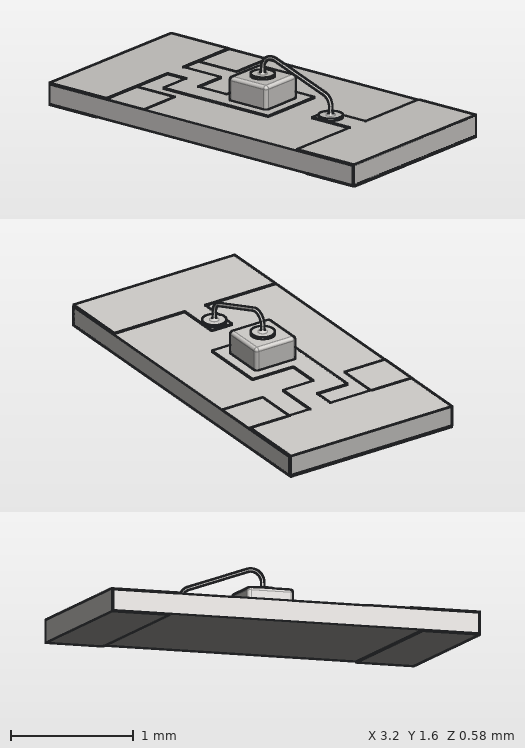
import cadquery as cq
import math

LENGTH = 3.2
WIDTH = 1.6
GRID = LENGTH / 32
METAL = 0.01
SIDE_INSET = 0.01
TOP_Z = 0.192
BOARD_TOP = TOP_Z - METAL

TERMINAL_EDGE = 10 * GRID
UNDER_EDGE = 11 * GRID
PATCH_EDGE = 6 * GRID
PATCH_SIDE = 4 * GRID
PATCH_HEIGHT = 0.003
PAD_START = 6 * GRID

CHIP_SIZE = 4 * GRID
CHIP_HEIGHT = 2 * GRID
CHIP_RADIUS = 0.03
CHIP_TOP = TOP_Z + CHIP_HEIGHT

WIRE_TOP = 0.58
WIRE_RADIUS = 0.0145
BEND_RADIUS = 0.1
BOND_X = 0.715
LOWER_BEND_Z = 0.285
DISC_RADIUS = GRID
DISC_HEIGHT = 0.02
FLARE = 0.025


def box(x0, x1, y0, y1, z0, z1):
    return cq.Workplane("XY").box(x1 - x0, y1 - y0, z1 - z0, centered=False).translate((x0, y0, z0))


def make_board():
    half_length = LENGTH / 2 - METAL
    return box(-half_length, half_length, -WIDTH / 2, WIDTH / 2, METAL, BOARD_TOP)


def make_terminal(side):
    """C-shaped end metal: top plate, end plate and underside pad. side is -1 or 1 along X."""
    outer = side * LENGTH / 2
    profile = [
        (side * TERMINAL_EDGE, TOP_Z),
        (outer, TOP_Z),
        (outer, 0),
        (side * UNDER_EDGE, 0),
        (side * UNDER_EDGE, METAL),
        (outer - side * METAL, METAL),
        (outer - side * METAL, BOARD_TOP),
        (side * TERMINAL_EDGE, BOARD_TOP),
    ]
    half_width = WIDTH / 2 - SIDE_INSET
    return cq.Workplane("XZ").polyline(profile).close().extrude(half_width, both=True)


def make_left_terminal():
    """Terminal with the stepped track that widens into the chip pad."""
    steps = [(-10, 2), (-6, 2), (-6, -1), (-3, -1), (-3, 3), (3, 3), (3, -3), (-8, -3), (-8, 0), (-10, 0)]
    outline = [(column * GRID, row * GRID) for column, row in steps]
    track = cq.Workplane("XY").workplane(offset=BOARD_TOP).polyline(outline).close().extrude(METAL)
    return make_terminal(-1).union(track)


def make_right_terminal():
    """Terminal with the short landing for the second bond."""
    landing = box(PAD_START, TERMINAL_EDGE, -GRID, GRID, BOARD_TOP, TOP_Z)
    return make_terminal(1).union(landing)


def make_patch(side):
    """Thin corner patch beside the left terminal. side is -1 or 1 along Y."""
    y0 = side * (WIDTH - PATCH_SIDE) / 2 - PATCH_SIDE / 2
    return box(-TERMINAL_EDGE, -PATCH_EDGE, y0, y0 + PATCH_SIDE, BOARD_TOP, BOARD_TOP + PATCH_HEIGHT)


def make_chip():
    chip = box(-CHIP_SIZE / 2, CHIP_SIZE / 2, -CHIP_SIZE / 2, CHIP_SIZE / 2, TOP_Z, CHIP_TOP)
    return chip.edges("|Z or >Z").fillet(CHIP_RADIUS)


def make_foot(x, base_z):
    """Bond disc with the concave flare that runs up into the wire."""
    disc_top = base_z + DISC_HEIGHT
    flare_top = disc_top + FLARE
    flare_radius = WIRE_RADIUS + FLARE
    reach = FLARE * (1 - math.sqrt(0.5))
    foot = (
        cq.Workplane("XZ")
        .moveTo(0, base_z)
        .lineTo(DISC_RADIUS, base_z)
        .lineTo(DISC_RADIUS, disc_top)
        .lineTo(flare_radius, disc_top)
        .threePointArc((WIRE_RADIUS + reach, disc_top + reach), (WIRE_RADIUS, flare_top))
        .lineTo(0, flare_top)
        .close()
        .revolve(360, (0, 0), (0, 1))
    )
    return foot.translate((x, 0, 0))


def make_wire():
    """Bond wire: two upright ends, two bends and the straight slope tangent to both bends."""
    upper_x = BEND_RADIUS
    upper_z = WIRE_TOP - WIRE_RADIUS - BEND_RADIUS
    lower_x = BOND_X - BEND_RADIUS
    slope = math.atan2(upper_z - LOWER_BEND_Z, lower_x - upper_x)
    slope_start = math.pi / 2 - slope

    def on_bend(x, z, angle):
        return (x + BEND_RADIUS * math.cos(angle), z + BEND_RADIUS * math.sin(angle))

    start_z = CHIP_TOP + DISC_HEIGHT
    path = (
        cq.Workplane("XZ")
        .moveTo(0, start_z)
        .lineTo(0, upper_z)
        .threePointArc(
            on_bend(upper_x, upper_z, (math.pi + slope_start) / 2),
            on_bend(upper_x, upper_z, slope_start),
        )
        .lineTo(*on_bend(lower_x, LOWER_BEND_Z, slope_start))
        .threePointArc(on_bend(lower_x, LOWER_BEND_Z, slope_start / 2), (BOND_X, LOWER_BEND_Z))
        .lineTo(BOND_X, TOP_Z + DISC_HEIGHT)
    )
    strand = cq.Workplane("XY").workplane(offset=start_z).circle(WIRE_RADIUS).sweep(path)
    chip_foot = make_foot(0, CHIP_TOP)
    landing_foot = make_foot(BOND_X, TOP_Z)
    return strand.union(chip_foot).union(landing_foot)


board = make_board()
left_terminal = make_left_terminal()
right_terminal = make_right_terminal()
patches = [make_patch(side) for side in (-1, 1)]
chip = make_chip()
wire = make_wire()

result = cq.Compound.makeCompound([
    board.val(),
    left_terminal.val(),
    right_terminal.val(),
    *[patch.val() for patch in patches],
    chip.val(),
    wire.val(),
])